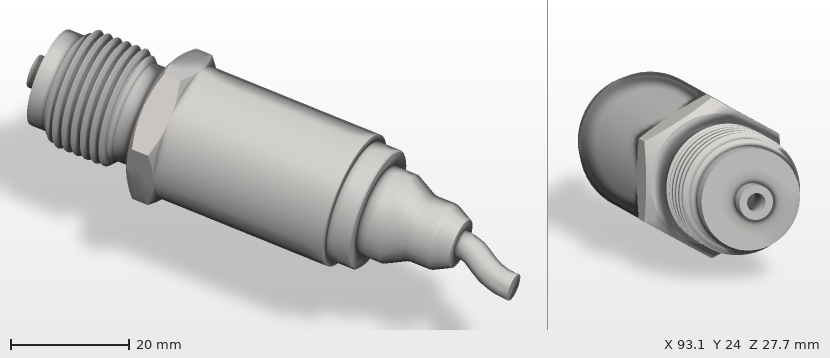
import cadquery as cq
import math


spigot_diameter = 6.0
port_diameter = 3.3
land_diameter = 17.5
spigot_length = 3.0
port_depth = 2 * spigot_length
thread_start_x = 6.05
thread_end_x = 19.4
thread_root_diameter = 18.6
thread_crest_diameter = 21.2
thread_pitch = 1.8
crest_top_x = 8.3
ridge_base_width = 1.5
ridge_crest_width = 0.1
ridge_overlap = 0.1
crest_clearance = 0.5
undercut_diameter = 17.8
undercut_flare_diameter = 19.5
undercut_flare_radius = (undercut_flare_diameter - undercut_diameter) / 2

hex_start_x = 23.1
hex_end_x = 28.7
hex_across_flats = 24.0
hex_across_corners = hex_across_flats / math.cos(math.pi / 6)
hex_front_diameter = 22.6
hex_chamfer_slope = math.tan(math.radians(30))
barrel_diameter = hex_across_flats
barrel_end_x = 60.7

flange_diameter = 21.7
flange_face_diameter = 21.2
flange_chamfer = (flange_diameter - flange_face_diameter) / 2
flange_end_x = 65.15
boot_diameter = 16.2
boot_end_x = 69.3
neck_diameter = 12.0
neck_start_x = 73.4
neck_end_x = 77.7
cap_tip_diameter = 8.75
cap_end_x = 80.9
neck_blend_radius = 1.7

cable_diameter = 4.8
cable_end_x = 93.1
cable_offset = 4.2
cable_middle_x = 86.2


def cylinder(diameter, start_x, end_x):
    """Round bar along the X axis."""
    return cq.Workplane("YZ", origin=(start_x, 0, 0)).circle(diameter / 2).extrude(end_x - start_x)


def revolve_about_x(outline):
    """Closed half outline in the XY plane turned about the X axis."""
    return outline.close().revolve(360, (0, 0, 0), (1, 0, 0))


def make_thread():
    """Right-hand helical ridge on a core, with 45-degree chamfers at both thread ends."""
    core_radius = thread_root_diameter / 2
    crest_radius = thread_crest_diameter / 2
    end_radius = land_diameter / 2
    envelope_radius = crest_radius + crest_clearance
    chamfer = envelope_radius - end_radius

    envelope = revolve_about_x(
        cq.Workplane("XY")
        .moveTo(thread_start_x, 0)
        .lineTo(thread_start_x, end_radius)
        .lineTo(thread_start_x + chamfer, envelope_radius)
        .lineTo(thread_end_x - chamfer, envelope_radius)
        .lineTo(thread_end_x, end_radius)
        .lineTo(thread_end_x, 0)
    )

    foot_radius = core_radius - ridge_overlap
    flank_slope = (ridge_base_width - ridge_crest_width) / (crest_radius - core_radius)
    ridge_foot_width = ridge_base_width + ridge_overlap * flank_slope

    helix_start_x = crest_top_x - 2 * thread_pitch
    helix_end_x = thread_end_x + thread_pitch
    helix_length = helix_end_x - helix_start_x
    helix = cq.Wire.makeHelix(thread_pitch, helix_length, core_radius)
    ridge = (
        cq.Workplane("XZ")
        .polyline([
            (foot_radius, -ridge_foot_width / 2),
            (crest_radius, -ridge_crest_width / 2),
            (crest_radius, ridge_crest_width / 2),
            (foot_radius, ridge_foot_width / 2),
        ])
        .close()
        .sweep(cq.Workplane(obj=helix), isFrenet=True)
    )
    along_x = cq.Plane(origin=(helix_start_x, 0, 0), xDir=(0, 0, 1), normal=(1, 0, 0))
    ridge = cq.Workplane(obj=ridge.val().located(cq.Location(along_x)))

    core_start_x = helix_start_x - thread_pitch
    core_end_x = helix_end_x + thread_pitch
    core = cylinder(thread_root_diameter, core_start_x, core_end_x)
    return core.union(ridge).intersect(envelope)


def make_undercut():
    """Plain neck behind the thread, flaring into the hexagon face."""
    radius = undercut_diameter / 2
    flare_start_x = hex_start_x - undercut_flare_radius
    return revolve_about_x(
        cq.Workplane("XY")
        .moveTo(thread_end_x, 0)
        .lineTo(thread_end_x, radius)
        .lineTo(flare_start_x, radius)
        .tangentArcPoint((hex_start_x, undercut_flare_diameter / 2), relative=False)
        .lineTo(hex_start_x, 0)
    )


def make_hexagon():
    """Hexagon with corners at +Z and -Z, chamfered at 30 degrees on both ends."""
    prism = (
        cq.Workplane("YZ", origin=(hex_start_x, 0, 0))
        .transformed(rotate=(0, 0, 90))
        .polygon(6, hex_across_corners)
        .extrude(hex_end_x - hex_start_x)
    )
    front_radius = hex_front_diameter / 2
    back_radius = barrel_diameter / 2
    corner_radius = hex_across_corners / 2
    front_chamfer = (corner_radius - front_radius) * hex_chamfer_slope
    back_chamfer = (corner_radius - back_radius) * hex_chamfer_slope
    chamfer_envelope = revolve_about_x(
        cq.Workplane("XY")
        .moveTo(hex_start_x, 0)
        .lineTo(hex_start_x, front_radius)
        .lineTo(hex_start_x + front_chamfer, corner_radius)
        .lineTo(hex_end_x - back_chamfer, corner_radius)
        .lineTo(hex_end_x, back_radius)
        .lineTo(hex_end_x, 0)
    )
    return prism.intersect(chamfer_envelope)


def make_housing():
    """Spigot, threaded fitting, hexagon and barrel as one solid, with the pressure port."""
    spigot = cylinder(spigot_diameter, 0, spigot_length)
    land = cylinder(land_diameter, spigot_length, thread_start_x)
    barrel = cylinder(barrel_diameter, hex_end_x, barrel_end_x)
    port = cylinder(port_diameter, 0, port_depth)
    fitting = spigot.union(land).union(make_thread()).union(make_undercut())
    return fitting.union(make_hexagon()).union(barrel).cut(port)


def make_cap():
    """Chamfered flange and stepped, tapering cable boot."""
    flange = cylinder(flange_diameter, barrel_end_x, flange_end_x).edges().chamfer(flange_chamfer)
    boot = revolve_about_x(
        cq.Workplane("XY")
        .moveTo(flange_end_x, 0)
        .lineTo(flange_end_x, boot_diameter / 2)
        .lineTo(boot_end_x, boot_diameter / 2)
        .lineTo(neck_start_x, neck_diameter / 2)
        .lineTo(neck_end_x, neck_diameter / 2)
        .lineTo(cap_end_x, cap_tip_diameter / 2)
        .lineTo(cap_end_x, 0)
    )
    neck_ends = cq.selectors.RadiusNthSelector(1)
    boot = boot.edges("%CIRCLE").edges(neck_ends).fillet(neck_blend_radius)
    return flange.union(boot)


def make_cable():
    """Round cable leaving the cap along X and swinging sideways in one smooth S-curve."""
    path = (
        cq.Workplane("XY")
        .moveTo(cap_end_x, 0)
        .spline(
            [(cable_middle_x, -cable_offset / 2), (cable_end_x, -cable_offset)],
            tangents=[(1, 0), (1, 0)],
            includeCurrent=True,
        )
    )
    return cq.Workplane("YZ", origin=(cap_end_x, 0, 0)).circle(cable_diameter / 2).sweep(path)


housing = make_housing()
cap = make_cap()
cable = make_cable()

result = cq.Compound.makeCompound([housing.val(), cap.val(), cable.val()])